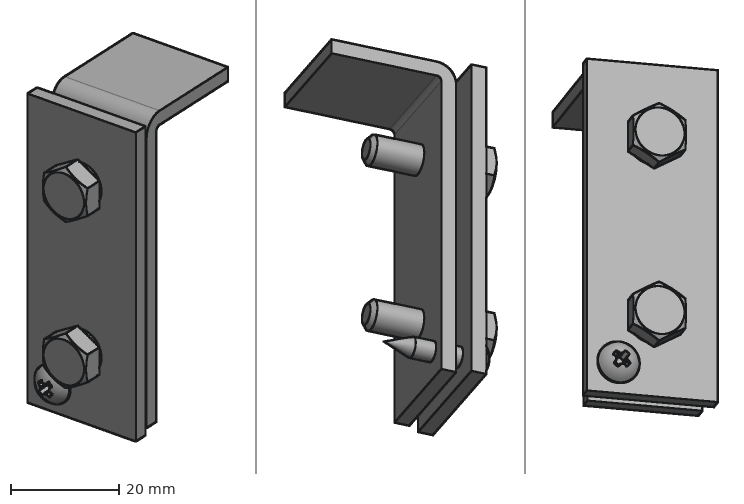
import cadquery as cq
import math

HEIGHT = 65
SHEET = 3.0
PLATE_WIDTH = 25.0
PLATE_GAP = 2.4

BRACKET_WIDTH = 22.0
BRACKET_DEPTH = 25.0
BEND_INNER_RADIUS = 1.0
BEND_OUTER_RADIUS = BEND_INNER_RADIUS + SHEET

BOLT_EDGE_DISTANCE = 15.0
BOLT_DIAMETER = 6.0
BOLT_TIP_DIAMETER = 4.0
BOLT_LENGTH = 19.95
COLLAR_DIAMETER = 9.2
COLLAR_THICKNESS = 1.2
HEX_SIDES = 6
HEX_ACROSS_FLATS = 10.0
HEX_HEIGHT = 4.3
HEX_TOP_DIAMETER = 9.35
HEX_CHAMFER_ANGLE = 30

SCREW_EDGE_DISTANCE = 6.0
SCREW_DIAMETER = 4.0
SCREW_BODY_LENGTH = 12.5
SCREW_POINT_LENGTH = 5.6
SCREW_HEAD_DIAMETER = 8.0
SCREW_RIM_HEIGHT = 0.45
SCREW_HEAD_HEIGHT = 2.8
RECESS_SPAN = 3.9
RECESS_FLOOR_SPAN = 1.3
RECESS_ARM_WIDTH = 1.05
RECESS_CORE_DIAMETER = 2.2
RECESS_DEPTH = 2.1
RECESS_TILT = 50


def clamp_plate():
    return cq.Workplane("XY").box(PLATE_WIDTH, SHEET, HEIGHT, centered=(True, False, False))


def angle_bracket():
    front = SHEET + PLATE_GAP
    rear = front + BRACKET_DEPTH
    bend_y = front + BEND_OUTER_RADIUS
    bend_z = HEIGHT - BEND_OUTER_RADIUS
    return (
        cq.Workplane("YZ")
        .moveTo(front, 0)
        .lineTo(front, bend_z)
        .radiusArc((bend_y, HEIGHT), BEND_OUTER_RADIUS)
        .lineTo(rear, HEIGHT)
        .lineTo(rear, HEIGHT - SHEET)
        .lineTo(bend_y, HEIGHT - SHEET)
        .radiusArc((front + SHEET, bend_z), -BEND_INNER_RADIUS)
        .lineTo(front + SHEET, 0)
        .close()
        .extrude(BRACKET_WIDTH / 2, both=True)
    )


def revolved_about_y(profile):
    """Turn a closed (radius, Y) profile around the Y axis."""
    return profile.close().revolve(360, (0, 0, 0), (0, 1, 0))


def hex_bolt():
    """Bolt along Y whose collar rests on the plane Y = 0."""
    head_base = -COLLAR_THICKNESS
    head_top = head_base - HEX_HEIGHT
    tip = head_base + BOLT_LENGTH
    tip_chamfer = (BOLT_DIAMETER - BOLT_TIP_DIAMETER) / 2
    shank = revolved_about_y(
        cq.Workplane("XY")
        .moveTo(0, head_base)
        .lineTo(COLLAR_DIAMETER / 2, head_base)
        .lineTo(COLLAR_DIAMETER / 2, 0)
        .lineTo(BOLT_DIAMETER / 2, 0)
        .lineTo(BOLT_DIAMETER / 2, tip - tip_chamfer)
        .lineTo(BOLT_TIP_DIAMETER / 2, tip)
        .lineTo(0, tip)
    )
    across_corners = HEX_ACROSS_FLATS / math.cos(math.pi / HEX_SIDES)
    hexagon = (
        cq.Workplane("XZ", origin=(0, head_base, 0))
        .polygon(HEX_SIDES, across_corners)
        .extrude(HEX_HEIGHT)
        .rotate((0, 0, 0), (0, 1, 0), 180 / HEX_SIDES)
    )
    cone_base_radius = HEX_TOP_DIAMETER / 2 + HEX_HEIGHT / math.tan(math.radians(HEX_CHAMFER_ANGLE))
    corner_cone = revolved_about_y(
        cq.Workplane("XY")
        .moveTo(0, head_top)
        .lineTo(HEX_TOP_DIAMETER / 2, head_top)
        .lineTo(cone_base_radius, head_base)
        .lineTo(0, head_base)
    )
    return shank.union(hexagon.intersect(corner_cone))


def cross_recess():
    """Cross-shaped driver recess whose arms and round core narrow towards the floor."""
    mouth = -SCREW_HEAD_HEIGHT
    floor = mouth + RECESS_DEPTH
    recess = revolved_about_y(
        cq.Workplane("XY")
        .moveTo(0, mouth)
        .lineTo(RECESS_CORE_DIAMETER / 2, mouth)
        .lineTo(RECESS_FLOOR_SPAN / 2, floor)
        .lineTo(0, floor)
    )
    arm_pair = (
        cq.Workplane("XY")
        .moveTo(-RECESS_SPAN / 2, mouth)
        .lineTo(RECESS_SPAN / 2, mouth)
        .lineTo(RECESS_FLOOR_SPAN / 2, floor)
        .lineTo(-RECESS_FLOOR_SPAN / 2, floor)
        .close()
        .extrude(RECESS_ARM_WIDTH / 2, both=True)
    )
    for angle in (RECESS_TILT, RECESS_TILT + 90):
        recess = recess.union(arm_pair.rotate((0, 0, 0), (0, 1, 0), -angle))
    return recess


def pointed_screw():
    """Screw along Y whose head rests on the plane Y = 0."""
    head_radius = SCREW_HEAD_DIAMETER / 2
    dome_height = SCREW_HEAD_HEIGHT - SCREW_RIM_HEIGHT
    dome_radius = (head_radius**2 + dome_height**2) / (2 * dome_height)
    screw = revolved_about_y(
        cq.Workplane("XY")
        .moveTo(0, -SCREW_HEAD_HEIGHT)
        .radiusArc((head_radius, -SCREW_RIM_HEIGHT), -dome_radius)
        .lineTo(head_radius, 0)
        .lineTo(SCREW_DIAMETER / 2, 0)
        .lineTo(SCREW_DIAMETER / 2, SCREW_BODY_LENGTH)
        .lineTo(0, SCREW_BODY_LENGTH + SCREW_POINT_LENGTH)
    )
    return screw.cut(cross_recess())


result = clamp_plate().union(angle_bracket())

for bolt_z in (BOLT_EDGE_DISTANCE, HEIGHT - BOLT_EDGE_DISTANCE):
    result = result.union(hex_bolt().translate((0, 0, bolt_z)))

screw_x = SCREW_EDGE_DISTANCE - PLATE_WIDTH / 2
result = result.union(pointed_screw().translate((screw_x, 0, SCREW_EDGE_DISTANCE)))